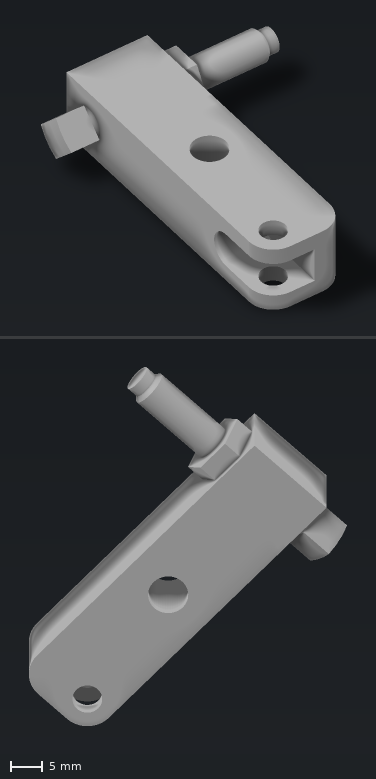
import cadquery as cq
import math

length = 55.55
width = 15.9
height = 12.7
corner_radius = 4.8

pivot_x = 28.55
pivot_diameter = 6.45
pin_x = length - corner_radius
pin_y = corner_radius
pin_diameter = 4.8

slot_height = 6.65
slot_left = 41.1
slot_depth = 2 * pin_y

screw_x = 6.35
screw_z = height / 2
screw_diameter = 6.0
tip_diameter = 4.55
tip_length = 1.9
taper_length = (screw_diameter - tip_diameter) / 2
screw_reach = 19.9
screw_end = width + screw_reach

head_gap = 1.0
head_diagonal = 8.55
dome_height = 0.5
head_length = 6.0

nut_across_flats = 10.0
nut_thickness = 3.2


def make_block():
    block = cq.Workplane("XY").box(length, width, height, centered=False)
    block = block.edges("|Z and >X").fillet(corner_radius)
    pivot = cq.Workplane("XY").center(pivot_x, width / 2).circle(pivot_diameter / 2).extrude(height)
    pin = cq.Workplane("XY").center(pin_x, pin_y).circle(pin_diameter / 2).extrude(height)
    return block.cut(pivot).cut(pin).cut(make_slot())


def make_slot():
    """Pocket with a half-round left end."""
    radius = slot_height / 2
    return (
        cq.Workplane("XZ")
        .moveTo(length, screw_z - radius)
        .lineTo(slot_left + radius, screw_z - radius)
        .threePointArc((slot_left, screw_z), (slot_left + radius, screw_z + radius))
        .lineTo(length, screw_z + radius)
        .close()
        .extrude(-slot_depth)
    )


def screw_plane(y):
    """Work plane on the screw axis, with its normal along +Y."""
    return cq.Workplane(cq.Plane(origin=(screw_x, y, screw_z), xDir=(1, 0, 0), normal=(0, 1, 0)))


def make_shank():
    radius = screw_diameter / 2
    tip_radius = tip_diameter / 2
    tip_start = screw_end - tip_length
    profile = [
        (0, -head_gap),
        (radius, -head_gap),
        (radius, tip_start - taper_length),
        (tip_radius, tip_start),
        (tip_radius, screw_end),
        (0, screw_end),
    ]
    shank = cq.Workplane("XY").polyline(profile).close().revolve(360, (0, 0, 0), (0, 1, 0))
    return shank.translate((screw_x, 0, screw_z))


def make_head():
    """Square prism trimmed by a sphere that passes through its four outer corners."""
    corner = head_diagonal / 2
    dome_radius = (corner**2 + dome_height**2) / (2 * dome_height)
    head_end = -head_gap - head_length
    prism = screw_plane(head_end).polygon(4, head_diagonal).extrude(head_length)
    ball = cq.Workplane("XY").sphere(dome_radius)
    return prism.intersect(ball.translate((screw_x, head_end + dome_radius, screw_z)))


def make_nut():
    across_corners = nut_across_flats / math.cos(math.pi / 6)
    return screw_plane(width).polygon(6, across_corners).extrude(nut_thickness)


result = make_block().union(make_shank()).union(make_head()).union(make_nut())